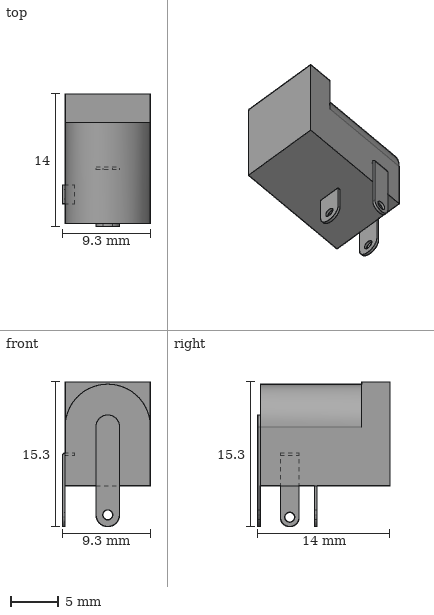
import cadquery as cq

housing_width = 9.0
housing_length = 13.7
flange_height = 11.0
flange_thickness = 3.0
barrel_radius = housing_width / 2
barrel_axis_height = 6.25
barrel_length = housing_length - flange_thickness

terminal_thickness = 0.3
terminal_drop = 4.3
terminal_hole_diameter = 1.02
wide_terminal_width = 2.5
side_terminal_width = 2.0
side_terminal_height = 3.5
side_terminal_y = 3.1
side_terminal_leg_depth = 1.0
bottom_terminal_rear_y = 5.7


def make_housing():
    """Round-topped barrel with a taller rectangular flange at its +Y end."""
    barrel = (
        cq.Workplane("XZ")
        .moveTo(-barrel_radius, 0)
        .lineTo(barrel_radius, 0)
        .lineTo(barrel_radius, barrel_axis_height)
        .threePointArc((0, barrel_axis_height + barrel_radius), (-barrel_radius, barrel_axis_height))
        .close()
        .extrude(-barrel_length)
    )
    flange = cq.Workplane("XY").box(
        housing_width, flange_thickness, flange_height, centered=(True, False, False)
    ).translate((0, barrel_length, 0))
    return barrel.union(flange)


def make_strip(width, top_height, round_top):
    """Strip across X, from Y = 0 to Y = terminal_thickness, with its hole concentric with the lower end."""
    end_radius = width / 2
    lower_centre_z = end_radius - terminal_drop
    outline = (
        cq.Workplane("XZ")
        .moveTo(-end_radius, lower_centre_z)
        .threePointArc((0, -terminal_drop), (end_radius, lower_centre_z))
    )
    if round_top:
        shoulder_z = top_height - end_radius
        outline = outline.lineTo(end_radius, shoulder_z)
        outline = outline.threePointArc((0, top_height), (-end_radius, shoulder_z))
    else:
        outline = outline.lineTo(end_radius, top_height).lineTo(-end_radius, top_height)
    hole = (
        cq.Workplane("XZ")
        .center(0, lower_centre_z)
        .circle(terminal_hole_diameter / 2)
        .extrude(-terminal_thickness)
    )
    return outline.close().extrude(-terminal_thickness).cut(hole)


def make_rear_terminal():
    """Strip lying on the rear face, its rounded top concentric with the barrel."""
    top_height = barrel_axis_height + wide_terminal_width / 2
    strip = make_strip(wide_terminal_width, top_height, round_top=True)
    return strip.translate((0, -terminal_thickness, 0))


def make_bottom_terminal():
    """Strip hanging from the underside of the housing."""
    strip = make_strip(wide_terminal_width, 0, round_top=False)
    return strip.translate((0, bottom_terminal_rear_y, 0))


def make_side_terminal():
    """Strip lying on the -X side, its top bent inward as a short leg that enters the housing wall."""
    inner_x = -housing_width / 2
    outer_x = inner_x - terminal_thickness
    leg_bottom_z = side_terminal_height - terminal_thickness
    strip = (
        make_strip(side_terminal_width, leg_bottom_z, round_top=False)
        .rotate((0, 0, 0), (0, 0, 1), 90)
        .translate((inner_x, side_terminal_y, 0))
    )
    bend_and_leg = (
        cq.Workplane("XZ", origin=(0, side_terminal_y - side_terminal_width / 2, 0))
        .moveTo(outer_x, leg_bottom_z)
        .radiusArc((inner_x, side_terminal_height), terminal_thickness)
        .lineTo(inner_x + side_terminal_leg_depth, side_terminal_height)
        .lineTo(inner_x + side_terminal_leg_depth, leg_bottom_z)
        .close()
        .extrude(-side_terminal_width)
    )
    return strip.union(bend_and_leg)


rear_terminal = make_rear_terminal()
bottom_terminal = make_bottom_terminal()
side_terminal = make_side_terminal()

housing = make_housing().cut(side_terminal)

bodies = [housing, rear_terminal, bottom_terminal, side_terminal]
result = cq.Compound.makeCompound([body.solids().val() for body in bodies])